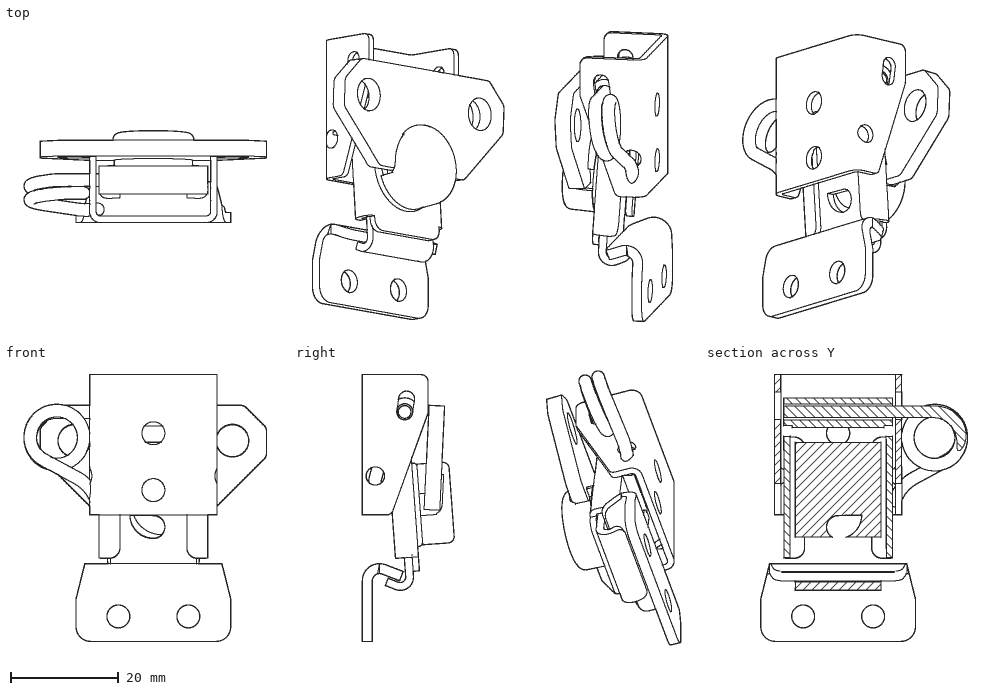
import cadquery as cq
import math

housing_half_width = 11.85
housing_bottom = 23.5
housing_top = 49.6
housing_depth = 12.25
housing_sheet = 1.25
housing_bend = 2
flange_foot = 5.4
flange_shoulder = 42.45
flange_top_fillet = 1.35
flange_foot_fillet = 1.25
front_hole_diameter = 4.25
front_hole_heights = (28.1, 38.7)
pivot_slot_width = 2.95
pivot_slot_top = (8.25, 45.05)
spring_hole = (2.45, 30.75)
spring_hole_diameter = 3.35

pivot_y = 7.9
pivot_z = 42.65
lean = 4.2

catch_half_width = 14.4
catch_sheet = 1.9
catch_bend = 3.2
catch_bend_height = 11.25
catch_lip_slope = 21
catch_lip_length = 3.45
catch_taper_start = 7.95
catch_top_half_width = 12.75
catch_tip_half_width = 11.65
catch_corner = 2.75
catch_lip_corner = 2
catch_hole_diameter = 4.2
catch_hole_x = 6.5
catch_hole_z = 4.65

guide_half_width = 10.1
guide_sheet = 1.2
guide_front = -3.7
guide_bend = 1.5
guide_lip = 3.9
guide_lip_corner = 2
guide_wall_top = -4.45
guide_wall_bottom = -27.05
eye_radius = 2.65
eye_bore_radius = 1.5
tongue_half_width = 8.55
tongue_bottom = -29.65
tongue_corner = 2

arm_half_width = 8.0
arm_sheet = 1.5
arm_top = -5.55
arm_bend = 2.5
arm_bend_center = -30.55
arm_lip_slope = 25.6
arm_lip_length = 2.05
arm_lip_corner = 1.35
cam_slot_bottom = -23.45
cam_slot_small_radius = 2.15
cam_slot_large_radius = 4.35

knob_axis = -17.35
knob_radius = 7.55
knob_front = 1.55
knob_back = 7.5
knob_fillet = 1.25
hub_radius = 5.45
hub_offset = 1.5
washer_radius = 7.8
washer_fillet = 0.75
knob_core_half_width = 5.45
knob_window_bottom = -19.45
knob_window_top = -15.4

wing_half_width = 21.05
wing_bottom = 24.45
wing_top = 43.85
wing_mid_y = 12.95
wing_thickness = 2.95
wing_lean = -2.7
wing_chamfer = 4.15
wing_side_bottom = 34.35
wing_corner = 1.5
wing_hole_diameter = 6.05
wing_hole_x = 14.7
wing_hole_z = 37.3
wing_slot_gap = 0.4
wing_slot_depth = 0.9
wing_slot_corner = 2

wire_diameter = 2.4
coil_radius = 4.95
coil_x = -17.9
coil_pitch = 2.55
coil_slant = 0.1
coil_climb = 0.25
coil_turns = 1.42
coil_points = 24
spring_leg = 6.95
spring_tip = (-10.3, 2.45, 25.05)
spring_tip_direction = (0.17, 0, -0.98)


def box(x0, x1, y0, y1, z0, z1):
    return cq.Workplane("XY").box(x1 - x0, y1 - y0, z1 - z0, centered=False).translate((x0, y0, z0))


def x_prism(outline, half_width):
    """Extrude a closed YZ outline equally to both sides of X = 0."""
    return outline.close().extrude(half_width, both=True)


def y_cylinder(x, z, radius, y0, y1):
    return cq.Workplane("XZ").center(x, z).circle(radius).extrude(y0 - y1).translate((0, y0, 0))


def lean_on_pivot(body):
    """Move a body from the guide's local frame to its leaning place on the pivot."""
    return body.rotate((0, 0, 0), (1, 0, 0), lean).translate((0, pivot_y, pivot_z))


def polar(center, radius, degrees):
    angle = math.radians(degrees)
    return (center[0] + radius * math.cos(angle), center[1] + radius * math.sin(angle))


def make_spring():
    start_angle = math.pi / 2
    end_angle = start_angle + 2 * math.pi * coil_turns
    angle_step = (end_angle - start_angle) / coil_points

    def coil_point(angle):
        turn = (angle - start_angle) / (2 * math.pi)
        drop = coil_radius * (math.sin(angle) - 1)
        return cq.Vector(
            coil_x + coil_radius * math.cos(angle),
            pivot_y - coil_pitch * turn + coil_slant * drop,
            pivot_z + coil_climb * turn + drop,
        )

    def coil_tangent(angle):
        fall = coil_radius * math.cos(angle)
        return cq.Vector(
            -coil_radius * math.sin(angle),
            -coil_pitch / (2 * math.pi) + coil_slant * fall,
            coil_climb / (2 * math.pi) + fall,
        )

    start = cq.Vector(guide_half_width, pivot_y, pivot_z)
    angles = [start_angle + i * angle_step for i in range(coil_points + 1)]
    coil = [coil_point(angle) for angle in angles]
    leg_direction = coil_tangent(end_angle).normalized()
    leg_end = coil[-1] + leg_direction * spring_leg
    pivot_leg = cq.Edge.makeLine(start, coil[0])
    loops = cq.Edge.makeSpline(
        coil,
        tangents=[cq.Vector(-coil_radius, 0, 0), coil_tangent(end_angle)],
        parameters=angles,
        scale=False,
    )
    tail_leg = cq.Edge.makeLine(coil[-1], leg_end)
    tail_bend = cq.Edge.makeSpline(
        [leg_end, cq.Vector(*spring_tip)],
        tangents=[leg_direction, cq.Vector(*spring_tip_direction)],
    )
    path = cq.Wire.assembleEdges([pivot_leg, loops, tail_leg, tail_bend])
    section = cq.Workplane("YZ", origin=start.toTuple()).circle(wire_diameter / 2)
    return section.sweep(cq.Workplane(path))


def make_housing(spring):
    outer = x_prism(
        cq.Workplane("YZ").polyline([
            (0, housing_bottom),
            (flange_foot, housing_bottom),
            (housing_depth, flange_shoulder),
            (housing_depth, housing_top),
            (0, housing_top),
        ]),
        housing_half_width,
    )
    outer = outer.edges("|X and >Y and >Z").fillet(flange_top_fillet)
    foot = cq.selectors.NearestToPointSelector((0, flange_foot, housing_bottom))
    outer = outer.edges("|X").edges(foot).fillet(flange_foot_fillet)
    outer = outer.edges("|Z and <Y").fillet(housing_bend)
    inner_half = housing_half_width - housing_sheet
    inner = box(-inner_half, inner_half, housing_sheet, housing_depth, housing_bottom, housing_top)
    inner = inner.edges("|Z and <Y").fillet(housing_bend - housing_sheet)
    body = outer.cut(inner)
    for z in front_hole_heights:
        body = body.cut(y_cylinder(0, z, front_hole_diameter / 2, 0, housing_sheet))

    run_y = pivot_slot_top[0] - pivot_y
    run_z = pivot_slot_top[1] - pivot_z
    slot = (
        cq.Workplane("YZ")
        .center(pivot_y + run_y / 2, pivot_z + run_z / 2)
        .slot2D(math.hypot(run_y, run_z) + pivot_slot_width, pivot_slot_width,
                math.degrees(math.atan2(run_z, run_y)))
        .extrude(housing_half_width, both=True)
    )
    spring_holes = (
        cq.Workplane("YZ").center(*spring_hole).circle(spring_hole_diameter / 2)
        .extrude(housing_half_width, both=True)
        .intersect(box(-housing_half_width, housing_half_width, housing_sheet / 2, housing_depth,
                       housing_bottom, housing_top))
    )
    return body.cut(slot).cut(spring_holes).cut(spring)


def make_catch():
    center = (catch_bend, catch_bend_height)
    inner_radius = catch_bend - catch_sheet
    arc_end = 90 - catch_lip_slope
    arc_middle = (180 + arc_end) / 2
    outer_end = polar(center, catch_bend, arc_end)
    inner_end = polar(center, inner_radius, arc_end)
    profile = (
        cq.Workplane("YZ")
        .moveTo(0, 0)
        .lineTo(0, catch_bend_height)
        .threePointArc(polar(center, catch_bend, arc_middle), outer_end)
        .lineTo(*polar(outer_end, catch_lip_length, -catch_lip_slope))
        .lineTo(*polar(inner_end, catch_lip_length, -catch_lip_slope))
        .lineTo(*inner_end)
        .threePointArc(polar(center, inner_radius, arc_middle), (catch_sheet, catch_bend_height))
        .lineTo(catch_sheet, 0)
    )
    bent = x_prism(profile, catch_half_width)
    crest = catch_bend_height + catch_bend
    tip_y = bent.val().BoundingBox().ymax
    front_outline = (
        cq.Workplane("XZ")
        .polyline([
            (-catch_half_width, 0), (catch_half_width, 0),
            (catch_half_width, catch_taper_start), (catch_top_half_width, crest),
            (-catch_top_half_width, crest), (-catch_half_width, catch_taper_start),
        ])
        .close().extrude(-tip_y)
        .edges("|Y and <Z").fillet(catch_corner)
    )
    plan_outline = (
        cq.Workplane("XY")
        .polyline([
            (-catch_half_width, 0), (catch_half_width, 0),
            (catch_half_width, catch_sheet), (catch_top_half_width, catch_bend),
            (catch_tip_half_width, tip_y), (-catch_tip_half_width, tip_y),
            (-catch_top_half_width, catch_bend), (-catch_half_width, catch_sheet),
        ])
        .close().extrude(crest)
    )
    body = bent.intersect(front_outline).intersect(plan_outline)
    tip_region = cq.selectors.BoxSelector(
        (-catch_half_width, tip_y - catch_sheet / 2, 0),
        (catch_half_width, tip_y + catch_sheet, crest),
    )
    body = body.edges(tip_region).edges("not |X").fillet(catch_lip_corner)
    for x in (-catch_hole_x, catch_hole_x):
        body = body.cut(y_cylinder(x, catch_hole_z, catch_hole_diameter / 2, 0, catch_sheet))
    return body


def make_guide():
    back = guide_sheet / 2
    channel = box(-guide_half_width, guide_half_width, guide_front, back, guide_wall_bottom, guide_wall_top)
    channel = channel.edges("|Z").fillet(guide_bend)
    inner_half = guide_half_width - guide_sheet
    cavity = box(-inner_half, inner_half, guide_front + guide_sheet, -back, guide_wall_bottom, guide_wall_top)
    cavity = cavity.edges("|Z").fillet(guide_bend - guide_sheet)
    mouth_half = guide_half_width - guide_lip
    mouth = box(-mouth_half, mouth_half, guide_front, guide_front + guide_sheet,
                guide_wall_bottom, guide_wall_top)
    channel = channel.cut(cavity).cut(mouth)
    margin = guide_sheet / 2
    lip_region = cq.selectors.BoxSelector(
        (-mouth_half - margin, guide_front - margin, guide_wall_bottom - margin),
        (mouth_half + margin, guide_front + guide_sheet, guide_wall_top + margin),
    )
    channel = channel.edges("|Y").edges(lip_region).fillet(guide_lip_corner)
    tongue = box(-tongue_half_width, tongue_half_width, -back, back, tongue_bottom, 0)
    tongue = tongue.edges("|Y and <Z").fillet(tongue_corner)
    eye = cq.Workplane("YZ").circle(eye_radius).extrude(guide_half_width, both=True)
    bore = cq.Workplane("YZ").circle(eye_bore_radius).extrude(guide_half_width, both=True)
    hub_hole = y_cylinder(hub_offset, knob_axis, hub_radius, -back, back)
    return lean_on_pivot(channel.union(tongue).union(eye).cut(bore).cut(hub_hole))


def make_arm():
    back = -guide_sheet / 2
    front = back - arm_sheet
    center = (back - arm_bend, arm_bend_center)
    inner_radius = arm_bend - arm_sheet
    arc_end = -90 - arm_lip_slope
    arc_middle = arc_end / 2
    lip_heading = 180 - arm_lip_slope
    outer_end = polar(center, arm_bend, arc_end)
    inner_end = polar(center, inner_radius, arc_end)
    profile = (
        cq.Workplane("YZ")
        .moveTo(back, arm_top)
        .lineTo(back, arm_bend_center)
        .threePointArc(polar(center, arm_bend, arc_middle), outer_end)
        .lineTo(*polar(outer_end, arm_lip_length, lip_heading))
        .lineTo(*polar(inner_end, arm_lip_length, lip_heading))
        .lineTo(*inner_end)
        .threePointArc(polar(center, inner_radius, arc_middle), (front, arm_bend_center))
        .lineTo(front, arm_top)
    )
    body = x_prism(profile, arm_half_width)
    body = body.faces("<Y").edges("not |X").fillet(arm_lip_corner)

    large_center = cam_slot_bottom + cam_slot_large_radius
    small_center = cam_slot_bottom + cam_slot_small_radius
    diagonal = polar((0, large_center), cam_slot_large_radius, -135)
    slot = (
        cq.Workplane("XZ", origin=(0, front, 0))
        .moveTo(0, cam_slot_bottom)
        .threePointArc((cam_slot_small_radius, small_center), (0, small_center + cam_slot_small_radius))
        .lineTo(-cam_slot_large_radius, large_center)
        .threePointArc(diagonal, (0, cam_slot_bottom))
        .close().extrude(-arm_sheet)
    )
    return lean_on_pivot(body.cut(slot))


def make_washer():
    body = y_cylinder(0, knob_axis, washer_radius, guide_sheet / 2, knob_front)
    body = body.faces(">Y").edges().fillet(washer_fillet)
    return lean_on_pivot(body.cut(y_cylinder(hub_offset, knob_axis, hub_radius, guide_sheet / 2, knob_front)))


def lean_wing(body):
    return body.rotate((0, 0, 0), (1, 0, 0), wing_lean).translate((0, wing_mid_y, wing_bottom))


def make_wing():
    height = wing_top - wing_bottom
    side_bottom = wing_side_bottom - wing_bottom
    foot_half_width = wing_half_width - side_bottom
    right_side = [
        (foot_half_width, 0),
        (wing_half_width, side_bottom),
        (wing_half_width, height - wing_chamfer),
        (wing_half_width - wing_chamfer, height),
    ]
    left_side = [(-x, z) for x, z in reversed(right_side)]
    plate = (
        cq.Workplane("XZ").polyline(right_side + left_side).close()
        .extrude(wing_thickness / 2, both=True)
        .edges("|Y").fillet(wing_corner)
    )
    for x in (-wing_hole_x, wing_hole_x):
        plate = plate.cut(y_cylinder(x, wing_hole_z - wing_bottom, wing_hole_diameter / 2,
                                     -wing_thickness / 2, wing_thickness / 2))
    return lean_wing(plate)


def make_knob(wing):
    grip = y_cylinder(0, knob_axis, knob_radius, knob_front, knob_back)
    grip = grip.faces(">Y").edges().fillet(knob_fillet)
    hub = y_cylinder(hub_offset, knob_axis, hub_radius, -guide_sheet / 2, knob_front)
    window = box(-knob_radius, knob_radius, knob_front, (knob_front + knob_back) / 2,
                 knob_window_bottom, knob_window_top)
    slot = box(-wing_half_width, wing_half_width, -wing_thickness / 2, wing_thickness / 2 + wing_slot_gap,
               -wing_slot_depth, wing_top - wing_bottom)
    slot = slot.edges("|X and >Y and <Z").fillet(wing_slot_corner)
    core = box(-knob_core_half_width, knob_core_half_width, 0, housing_top, 0, housing_top)
    clearance = lean_on_pivot(window).union(lean_wing(slot)).cut(core)
    return lean_on_pivot(grip.union(hub)).cut(clearance).cut(wing)


spring = make_spring()
housing = make_housing(spring)
catch = make_catch()
guide = make_guide()
arm = make_arm()
washer = make_washer()
wing = make_wing()
knob = make_knob(wing)

result = cq.Compound.makeCompound([
    housing.val(),
    spring.val(),
    catch.val(),
    guide.val(),
    arm.val(),
    washer.val(),
    knob.val(),
    wing.val(),
])